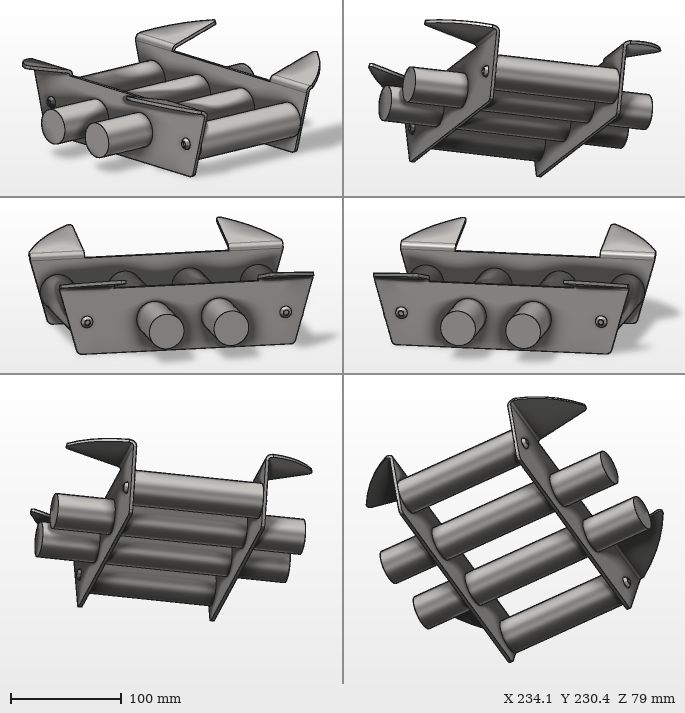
import cadquery as cq
import math

rod_diameter = 32.0
long_rod_length = 230.0
long_rod_x = 30.0
long_rod_shift = -1.0
screw_x = 92.0
short_rod_offset = 1.2

plate_gap = 119.9
plate_thickness = 3.0
plate_width = 234.1
plate_bottom_width = 200.5
plate_half_height = 30.0
plate_corner_radius = 5.0

ear_slope = 15.0
bend_inner_radius = 3.0
ear_inner_x = 66.7
ear_arc_radius = 134.0
ear_arc_setback = 63.0
ear_tip_radius = 3.0

head_diameter = 10.8
head_height = 3.3
socket_diameter = 5.0
socket_depth = 1.9

half_gap = plate_gap / 2
outer_face_y = half_gap + plate_thickness
bend_outer_radius = bend_inner_radius + plate_thickness
bend_angle = 90 - ear_slope
long_rod_places = (-long_rod_x, long_rod_x)
short_rod_places = (-screw_x, screw_x + short_rod_offset)
screw_places = (-screw_x, screw_x)


def rod(x, length, y_center):
    """Plain round bar along Y, starting at its +Y end."""
    return (
        cq.Workplane("XZ", origin=(x, y_center + length / 2, 0))
        .circle(rod_diameter / 2)
        .extrude(length)
    )


def long_rod(x):
    """Rod that passes through both plates."""
    return rod(x, long_rod_length, long_rod_shift)


def short_rod(x):
    """Spacer rod that fills the gap between the plates."""
    return rod(x, plate_gap, 0)


def web():
    """Upright trapezoid of the +Y plate, with holes for the long rods."""
    top = plate_width / 2
    bottom = plate_bottom_width / 2
    blank = (
        cq.Workplane("XZ", origin=(0, outer_face_y, 0))
        .polyline([
            (-top, plate_half_height),
            (top, plate_half_height),
            (bottom, -plate_half_height),
            (-bottom, -plate_half_height),
        ])
        .close()
        .extrude(plate_thickness)
        .edges("|Y and <Z")
        .fillet(plate_corner_radius)
    )
    for x in long_rod_places:
        blank = blank.cut(long_rod(x))
    return blank


def bend():
    """Curved strip that turns the +X end of the +Y plate's top edge outward."""
    strip_width = plate_width / 2 - ear_inner_x
    axis_y = half_gap + bend_outer_radius

    def on_arc(radius, degrees):
        angle = math.radians(degrees)
        return (axis_y - radius * math.cos(angle), plate_half_height + radius * math.sin(angle))

    return (
        cq.Workplane("YZ", origin=(ear_inner_x, 0, 0))
        .moveTo(*on_arc(bend_outer_radius, 0))
        .threePointArc(on_arc(bend_outer_radius, bend_angle / 2), on_arc(bend_outer_radius, bend_angle))
        .lineTo(*on_arc(bend_inner_radius, bend_angle))
        .threePointArc(on_arc(bend_inner_radius, bend_angle / 2), on_arc(bend_inner_radius, 0))
        .close()
        .extrude(strip_width)
    )


def ear():
    """Flat ear on the +X end of the +Y plate, drawn on its own sloping upper face."""
    angle = math.radians(bend_angle)
    slope = math.radians(ear_slope)
    start_y = half_gap + bend_outer_radius * (1 - math.cos(angle))
    start_z = plate_half_height + bend_outer_radius * math.sin(angle)
    upper_face = cq.Plane(
        origin=(0, start_y, start_z),
        xDir=(1, 0, 0),
        normal=(0, -math.sin(slope), math.cos(slope)),
    )

    def arc_point(x):
        return (x, math.sqrt(ear_arc_radius**2 - x**2) - ear_arc_setback)

    outer_x = plate_width / 2
    tip = arc_point(ear_inner_x)
    tip_edge = cq.selectors.NearestToPointSelector(upper_face.toWorldCoords(tip).toTuple())
    return (
        cq.Workplane(upper_face)
        .moveTo(ear_inner_x, 0)
        .lineTo(outer_x, 0)
        .lineTo(*arc_point(outer_x))
        .threePointArc(arc_point((ear_inner_x + outer_x) / 2), tip)
        .close()
        .extrude(-plate_thickness)
        .edges(tip_edge)
        .fillet(ear_tip_radius)
    )


def side_plate():
    """Complete +Y plate: web plus a bent ear at each end."""
    bent_ear = bend().union(ear())
    return web().union(bent_ear).union(bent_ear.mirror("YZ"))


def screw_head(x):
    """Domed head on the outer face of the +Y plate, turned about the screw axis."""
    rim = head_diameter / 2
    crown = socket_diameter / 2
    drop = (rim**2 - crown**2 - head_height**2) / (2 * head_height)
    sphere_radius = math.hypot(rim, drop)
    mid_radius = (rim + crown) / 2
    mid_height = math.sqrt(sphere_radius**2 - mid_radius**2) - drop
    socket_floor = head_height - socket_depth
    return (
        cq.Workplane("XY", origin=(x, outer_face_y, 0))
        .lineTo(rim, 0)
        .threePointArc((mid_radius, mid_height), (crown, head_height))
        .lineTo(crown, socket_floor)
        .lineTo(0, socket_floor)
        .close()
        .revolve(360, (0, 0), (0, 1))
    )


long_rods = [long_rod(x).val() for x in long_rod_places]
short_rods = [short_rod(x).val() for x in short_rod_places]

rear_plate = side_plate().solids()
side_plates = [rear_plate.val(), rear_plate.mirror("XZ").val()]

screws = []
for x in screw_places:
    rear_screw = screw_head(x)
    screws.append(rear_screw.val())
    screws.append(rear_screw.mirror("XZ").val())

result = cq.Compound.makeCompound([*long_rods, *short_rods, *side_plates, *screws])